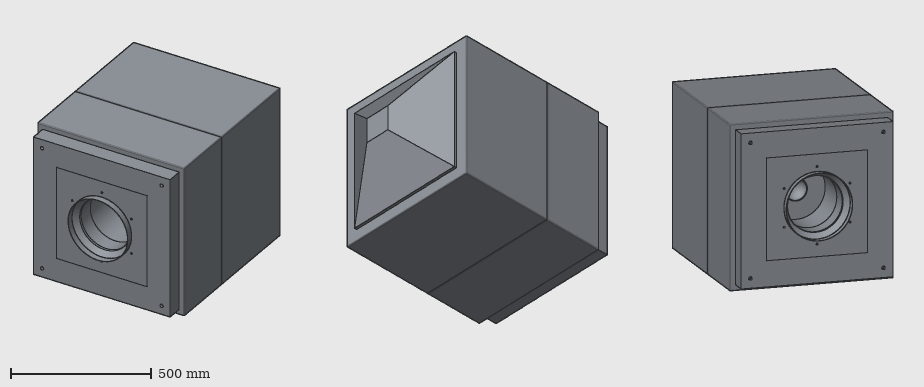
import cadquery as cq
import math

SPIGOT_LENGTH = 27.0
CASING_FRONT = 89.0
JOINT_DEPTH = 346.5
CASING_BACK = 747.0
HOOD_BASE_LENGTH = 11.0
TOTAL_LENGTH = 893.0

CASING_SIDE = 614.0
CASING_EDGE_RADIUS = 3.0
FACE_PLATE_SIDE = 571.5
INLET_PLATE_SIDE = 379.0
HOOD_BASE_SIDE = 513.0
HOOD_TIP_SIDE = 107.0

SPIGOT_RADIUS = 125.0
SPIGOT_WALL = 1.0
THROAT_RADIUS = 104.5
FUNNEL_DEPTH = SPIGOT_RADIUS - SPIGOT_WALL - THROAT_RADIUS
FUNNEL_END = SPIGOT_LENGTH + FUNNEL_DEPTH
INLET_PLATE_BACK = 56.0

DUCT_END = 119.0
CHAMBER_RADIUS = 110.0
CHAMBER_END = 268.0
DOME_RADIUS = 40.0
DOME_RIM_RADIUS = 43.0
DOME_RIM_DEPTH = 1.0

CORNER_HOLE_RADIUS = 6.0
CORNER_HOLE_SPACING = 500.0
FLANGE_HOLE_RADIUS = 3.1
FLANGE_HOLE_CIRCLE_RADIUS = 143.0
FLANGE_HOLE_COUNT = 6
HOLE_DEPTH = 13.0


def square_block(side, start, end):
    """Square block centred on the Y axis, from depth start to depth end."""
    length = end - start
    return cq.Workplane("XY").box(side, length, side).translate((0, start + length / 2, 0))


def casing_box(start, end):
    """Casing half with all its edges rounded."""
    return square_block(CASING_SIDE, start, end).edges().fillet(CASING_EDGE_RADIUS)


def turned(profile):
    """Solid of revolution about the Y axis from (radius, depth) points."""
    return cq.Workplane("XY").polyline(profile).close().revolve(360, (0, 0, 0), (0, 1, 0))


def drill(body, places, radius, face_depth):
    """Blind holes into a face at face_depth, at the given (x, z) places."""
    for x, z in places:
        hole = cq.Solid.makeCylinder(radius, HOLE_DEPTH, cq.Vector(x, face_depth, z), cq.Vector(0, 1, 0))
        body = body.cut(cq.Workplane(hole))
    return body


def make_hood():
    """Square pyramid stump on a thin straight base."""
    base_end = CASING_BACK + HOOD_BASE_LENGTH
    base = square_block(HOOD_BASE_SIDE, CASING_BACK, base_end)
    stump = (
        cq.Workplane("XZ", origin=(0, base_end, 0))
        .rect(HOOD_BASE_SIDE, HOOD_BASE_SIDE)
        .workplane(offset=base_end - TOTAL_LENGTH)
        .rect(HOOD_TIP_SIDE, HOOD_TIP_SIDE)
        .loft(ruled=True)
    )
    return base.union(stump)


def make_rear_casing():
    return casing_box(JOINT_DEPTH, CASING_BACK).union(make_hood())


def make_air_chamber():
    """Duct that opens into a slightly wider chamber with a dome hollow in its back wall."""
    rim_end = CHAMBER_END + DOME_RIM_DEPTH
    chamber = turned([
        (0, INLET_PLATE_BACK),
        (THROAT_RADIUS, INLET_PLATE_BACK),
        (THROAT_RADIUS, DUCT_END),
        (CHAMBER_RADIUS, DUCT_END),
        (CHAMBER_RADIUS, CHAMBER_END),
        (DOME_RIM_RADIUS, CHAMBER_END),
        (DOME_RIM_RADIUS, rim_end),
        (0, rim_end),
    ])
    dome = cq.Workplane("XY").sphere(DOME_RADIUS).translate((0, rim_end, 0))
    return chamber.union(dome)


def make_front_casing():
    casing = casing_box(CASING_FRONT, JOINT_DEPTH)
    face_plate = square_block(FACE_PLATE_SIDE, SPIGOT_LENGTH, CASING_FRONT)
    casing = casing.union(face_plate)
    casing = casing.cut(square_block(INLET_PLATE_SIDE, SPIGOT_LENGTH, INLET_PLATE_BACK))
    casing = casing.cut(make_air_chamber())
    half = CORNER_HOLE_SPACING / 2
    corners = [(x, z) for x in (-half, half) for z in (-half, half)]
    return drill(casing, corners, CORNER_HOLE_RADIUS, SPIGOT_LENGTH)


def make_inlet_plate():
    """Square plate carrying a thin-walled spigot that funnels down to the throat."""
    plate = square_block(INLET_PLATE_SIDE, SPIGOT_LENGTH, INLET_PLATE_BACK)
    spigot = turned([
        (0, 0),
        (SPIGOT_RADIUS, 0),
        (SPIGOT_RADIUS, SPIGOT_LENGTH),
        (0, SPIGOT_LENGTH),
    ])
    passage = turned([
        (0, 0),
        (SPIGOT_RADIUS - SPIGOT_WALL, 0),
        (SPIGOT_RADIUS - SPIGOT_WALL, SPIGOT_LENGTH),
        (THROAT_RADIUS, FUNNEL_END),
        (THROAT_RADIUS, INLET_PLATE_BACK),
        (0, INLET_PLATE_BACK),
    ])
    plate = plate.union(spigot).cut(passage)
    places = []
    for i in range(FLANGE_HOLE_COUNT):
        angle = math.radians(90 + i * 360 / FLANGE_HOLE_COUNT)
        x = FLANGE_HOLE_CIRCLE_RADIUS * math.cos(angle)
        z = FLANGE_HOLE_CIRCLE_RADIUS * math.sin(angle)
        places.append((x, z))
    return drill(plate, places, FLANGE_HOLE_RADIUS, SPIGOT_LENGTH)


rear_casing = make_rear_casing()
front_casing = make_front_casing()
inlet_plate = make_inlet_plate()

result = cq.Compound.makeCompound([rear_casing.val(), front_casing.val(), inlet_plate.val()])